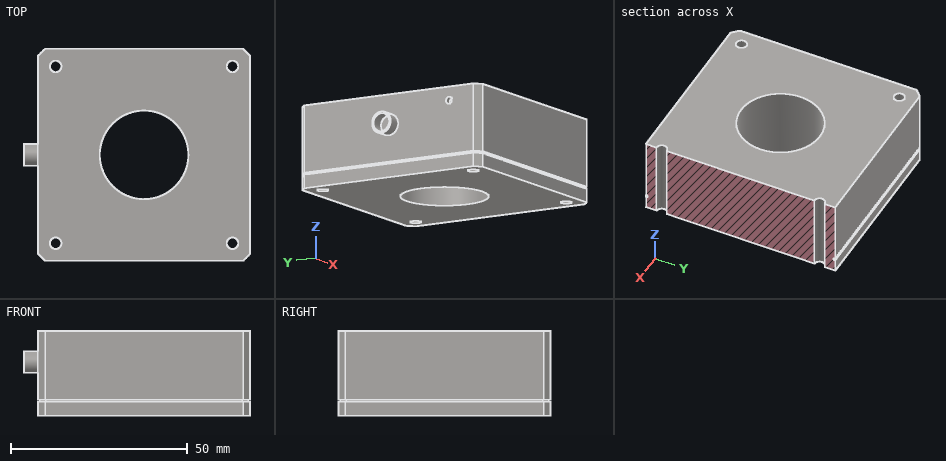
import cadquery as cq
import math

SIDE = 60.0
HEIGHT = 24.0
CORNER_CHAMFER = 2.0

BASE_THICKNESS = 4.0
GROOVE_HEIGHT = 0.5
GROOVE_DEPTH = 0.5

BORE_DIAMETER = 25.0
MOUNT_HOLE_DIAMETER = 3.2
MOUNT_HOLE_SPACING = 50.0

OUTLET_DIAMETER = 6.2
OUTLET_INNER_DIAMETER = 5.2
OUTLET_LENGTH = 4.0
OUTLET_Z = 15.2

INDICATOR_DIAMETER = 2.0
INDICATOR_DEPTH = 2.0
DRILL_POINT_ANGLE = 118.0
INDICATOR_Y = -20.0
INDICATOR_Z = 20.0

SIDE_FACE_X = -SIDE / 2


def chamfered_block(side, chamfer, bottom_z, height):
    """Square block with chamfered vertical edges."""
    block = cq.Workplane("XY").workplane(offset=bottom_z).rect(side, side).extrude(height)
    return block.edges("|Z").chamfer(chamfer)


def housing():
    """Chamfered block with a groove of even depth around all eight sides."""
    block = chamfered_block(SIDE, CORNER_CHAMFER, 0, HEIGHT)
    core_side = SIDE - 2 * GROOVE_DEPTH
    core_chamfer = CORNER_CHAMFER - GROOVE_DEPTH * (2 - math.sqrt(2))
    core = chamfered_block(core_side, core_chamfer, BASE_THICKNESS, GROOVE_HEIGHT)
    slab = cq.Workplane("XY").workplane(offset=BASE_THICKNESS).rect(SIDE, SIDE).extrude(GROOVE_HEIGHT)
    return block.cut(slab.cut(core))


def through_holes():
    """Central bore and four corner mounting holes, all running the full height."""
    bore = cq.Workplane("XY").circle(BORE_DIAMETER / 2).extrude(HEIGHT)
    mounts = (
        cq.Workplane("XY")
        .rect(MOUNT_HOLE_SPACING, MOUNT_HOLE_SPACING, forConstruction=True)
        .vertices()
        .circle(MOUNT_HOLE_DIAMETER / 2)
        .extrude(HEIGHT)
    )
    return bore.union(mounts)


def cable_outlet():
    """Open tube standing on the -X face."""
    end_plane = cq.Workplane("YZ", origin=(SIDE_FACE_X - OUTLET_LENGTH, 0, OUTLET_Z))
    return end_plane.circle(OUTLET_DIAMETER / 2).circle(OUTLET_INNER_DIAMETER / 2).extrude(OUTLET_LENGTH)


def indicator_hole():
    """Blind drilled hole with a conical bottom, revolved about the X direction."""
    radius = INDICATOR_DIAMETER / 2
    tip_length = radius / math.tan(math.radians(DRILL_POINT_ANGLE / 2))
    profile = (
        cq.Workplane("XY", origin=(SIDE_FACE_X, INDICATOR_Y, INDICATOR_Z))
        .lineTo(0, radius)
        .lineTo(INDICATOR_DEPTH, radius)
        .lineTo(INDICATOR_DEPTH + tip_length, 0)
        .close()
    )
    return profile.revolve(360, (0, 0), (1, 0))


result = housing().cut(through_holes()).union(cable_outlet()).cut(indicator_hole())